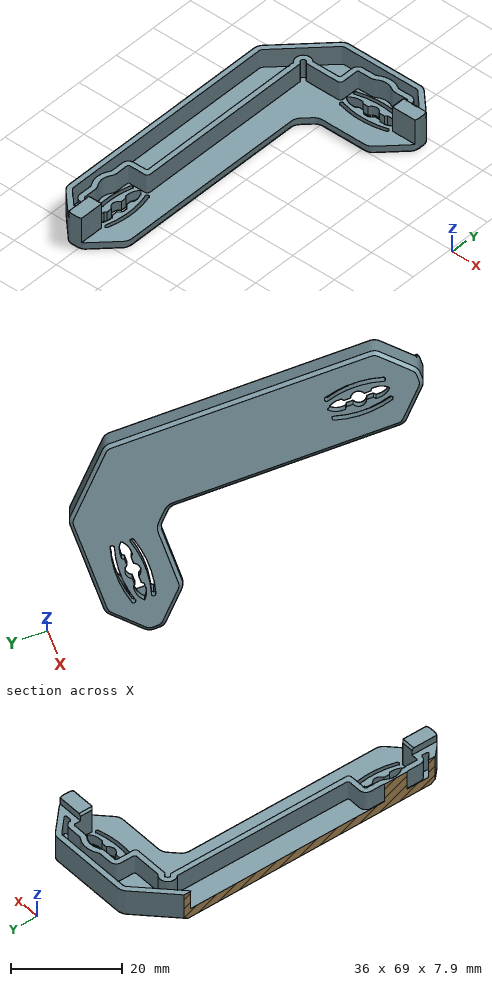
import cadquery as cq
import math


long_arm = 69.0
short_arm = 36.0
arm_width = 15.05
total_height = 7.9
wall_height = 6.35
floor_height = 2.15

outer_corner_cut = 11.2
inner_corner_cut = 3.0
tip_width = 2.9
corner_radius = 2.3
bottom_chamfer = 0.7

wall = 1.2
post_width = 3.05
post_length = 6.0
post_chamfer = 0.4
pocket_length = 12.0
pocket_offset = 3.1
bulge_height = 0.9
bulge_half_length = 3.05
bulge_arc_share = 0.58
pocket_corner_radius = 0.3
relief_diameter = 1.1
wall_corner_radius = 0.7
channel_corner_radius = 0.5
relief_blend_radius = 0.5
channel_end_radius = 0.3

clip_hole_radius = 1.45
clip_neck_half = 0.6
clip_lobe_half = 1.05
clip_lobe_start = 2.75
clip_lobe_straight_end = 3.6
clip_lobe_step = 0.35
clip_half_length = 5.95
slot_half_length = 5.8
slot_inner_offset = 2.35
slot_width = 0.75
slot_inner_radius = 18.35
slot_end_radius = 0.35

axis = arm_width / 2
post_near = axis - post_width / 2
post_far = axis + post_width / 2
tip_cut = (arm_width - tip_width) / 2
clip_from_tip = post_length + pocket_length / 2
pocket_start_from_tip = post_length + pocket_length
place_tolerance = 0.1


def flip(shape):
    """Mirror a long-arm shape in the diagonal of the L, onto the short arm side."""
    return shape.mirror("XZ").rotate((0, 0, 0), (0, 0, 1), -90)


def on_both_arms(make):
    """Build an arm feature for each arm length and join the two."""
    return make(long_arm).union(flip(make(short_arm)))


def outline(height):
    """L-shaped prism with cut corners and rounded upright edges."""
    half_tip = tip_width / 2
    corners = [
        (outer_corner_cut, 0),
        (short_arm - tip_cut, 0),
        (short_arm, -axis + half_tip),
        (short_arm, -axis - half_tip),
        (short_arm - tip_cut, -arm_width),
        (arm_width + inner_corner_cut, -arm_width),
        (arm_width, -arm_width - inner_corner_cut),
        (arm_width, -long_arm + tip_cut),
        (axis + half_tip, -long_arm),
        (axis - half_tip, -long_arm),
        (0, -long_arm + tip_cut),
        (0, -outer_corner_cut),
    ]
    return cq.Workplane("XY").polyline(corners).close().extrude(height).edges("|Z").fillet(corner_radius)


def pocket(arm):
    """Clear space beside the clip and across the post, with a bulged outer wall."""
    middle = clip_from_tip - arm
    end = post_length - arm
    start = pocket_start_from_tip - arm
    side = axis - pocket_offset
    half_angle = math.atan(bulge_height / bulge_half_length)
    angle = 2 * half_angle
    arc_half = bulge_half_length * bulge_arc_share
    blend_radius = (bulge_half_length - arc_half) / math.sin(angle)
    blend_mid = (side - blend_radius * (1 - math.cos(half_angle)),
                 bulge_half_length - blend_radius * math.sin(half_angle))
    blend_end = (side - blend_radius * (1 - math.cos(angle)), arc_half)
    space = (
        cq.Workplane("XY")
        .moveTo(side, end)
        .lineTo(side, middle - bulge_half_length)
        .threePointArc((blend_mid[0], middle - blend_mid[1]), (blend_end[0], middle - blend_end[1]))
        .threePointArc((side - bulge_height, middle), (blend_end[0], middle + blend_end[1]))
        .threePointArc((blend_mid[0], middle + blend_mid[1]), (side, middle + bulge_half_length))
        .lineTo(side, start)
        .lineTo(arm_width, start)
        .lineTo(arm_width, -arm)
        .lineTo(post_near, -arm)
        .lineTo(post_near, end)
        .close()
        .extrude(total_height)
    )
    return edges_at(space, [(side, start), (side, end)]).fillet(pocket_corner_radius)


def edges_at(solid, points):
    """Vertical edges of a solid that stand at the given points."""
    def stands_at_a_point(edge):
        spot = edge.Center()
        return any(math.hypot(spot.x - x, spot.y - y) < place_tolerance for x, y in points)

    return solid.edges("|Z").filter(stands_at_a_point)


def points_on_both_arms(make_points):
    """Points of a long-arm feature together with their mirror points on the short arm."""
    mirrored = [(-y, -x) for x, y in make_points(short_arm)]
    return make_points(long_arm) + mirrored


def open_area():
    """Everything on the inner side of the winding wall."""
    relief_radius = relief_diameter / 2

    def pocket_mouth(arm):
        return [(post_far, pocket_start_from_tip - arm)]

    area = (
        cq.Workplane("XY")
        .moveTo(post_far, -post_far)
        .rect(long_arm, -long_arm, centered=False)
        .extrude(total_height)
        .union(on_both_arms(pocket))
    )
    area = edges_at(area, points_on_both_arms(pocket_mouth)).fillet(wall_corner_radius)
    relief = cq.Workplane("XY").center(post_far, -post_far).circle(relief_radius).extrude(total_height)
    area = area.union(relief)
    blends = [(post_far, -post_far - relief_radius), (post_far + relief_radius, -post_far)]
    return edges_at(area, blends).fillet(relief_blend_radius)


def channel(backing):
    """Channel between the rim and the winding wall, one wall thickness inside both."""
    def end_corners(arm):
        side = post_near - wall
        slant_end = tip_cut - side - arm + wall * math.sqrt(2)
        return [(side, post_length - arm - wall), (side, slant_end)]

    def bend_corner(arm):
        return [(post_far - wall, pocket_start_from_tip - arm + wall)]

    edge = backing.faces(">Z").wires().val()
    cut = cq.Workplane("XY").add(edge.offset2D(-wall)).toPending().extrude(floor_height - wall_height)
    cut = edges_at(cut, points_on_both_arms(end_corners)).fillet(channel_end_radius)
    return edges_at(cut, points_on_both_arms(bend_corner)).fillet(channel_corner_radius)


def post(arm):
    """Post at the arm tip with its face toward the clip chamfered on top and on the far side."""
    return (
        cq.Workplane("XY")
        .moveTo(post_near, -arm)
        .rect(post_width, post_length, centered=False)
        .extrude(total_height)
        .faces(">Y")
        .edges(">Z or >X")
        .chamfer(post_chamfer)
    )


def clip_opening(arm):
    """Centre opening: a round hole joined by two necks to pointed lobes."""
    lobe_step_start = clip_lobe_start - clip_lobe_step / 2
    lobe_step_end = clip_lobe_start + clip_lobe_step / 2

    def lobe(sign):
        run = clip_half_length - clip_lobe_straight_end
        radius = (run ** 2 + clip_lobe_half ** 2) / (2 * clip_lobe_half)
        half_run = run / 2
        mid_width = clip_lobe_half - radius + math.sqrt(radius ** 2 - half_run ** 2)
        mid_place = clip_lobe_straight_end + half_run
        return (
            cq.Workplane("XY")
            .moveTo(-clip_neck_half, 0)
            .lineTo(-clip_neck_half, sign * lobe_step_start)
            .lineTo(-clip_lobe_half, sign * lobe_step_end)
            .lineTo(-clip_lobe_half, sign * clip_lobe_straight_end)
            .threePointArc((-mid_width, sign * mid_place), (0, sign * clip_half_length))
            .threePointArc((mid_width, sign * mid_place), (clip_lobe_half, sign * clip_lobe_straight_end))
            .lineTo(clip_lobe_half, sign * lobe_step_end)
            .lineTo(clip_neck_half, sign * lobe_step_start)
            .lineTo(clip_neck_half, 0)
            .close()
            .extrude(floor_height)
        )
    hole = cq.Workplane("XY").circle(clip_hole_radius).extrude(floor_height)
    return hole.union(lobe(1)).union(lobe(-1)).translate((axis, clip_from_tip - arm, 0))


def clip_slots(arm):
    """Two bowed slots that leave a springy leaf on each side of the opening."""
    centre = slot_inner_offset - slot_inner_radius
    ring = (
        cq.Workplane("XY")
        .center(centre, 0)
        .circle(slot_inner_radius + slot_width)
        .circle(slot_inner_radius)
        .extrude(floor_height)
    )
    window = (
        cq.Workplane("XY")
        .moveTo(0, -slot_half_length)
        .rect(axis, 2 * slot_half_length, centered=False)
        .extrude(floor_height)
    )
    slot = ring.intersect(window).edges("|Z").fillet(slot_end_radius)
    return slot.union(slot.mirror("YZ")).translate((axis, clip_from_tip - arm, 0))


envelope = outline(total_height).faces("<Z").edges().chamfer(bottom_chamfer)

slab = (
    cq.Workplane("XY")
    .moveTo(0, -long_arm)
    .rect(short_arm, long_arm, centered=False)
    .extrude(floor_height)
)

backing = outline(wall_height).cut(open_area())
walls = backing.cut(channel(backing))

result = (
    slab.union(walls)
    .union(on_both_arms(post))
    .intersect(envelope)
    .cut(on_both_arms(clip_opening))
    .cut(on_both_arms(clip_slots))
)